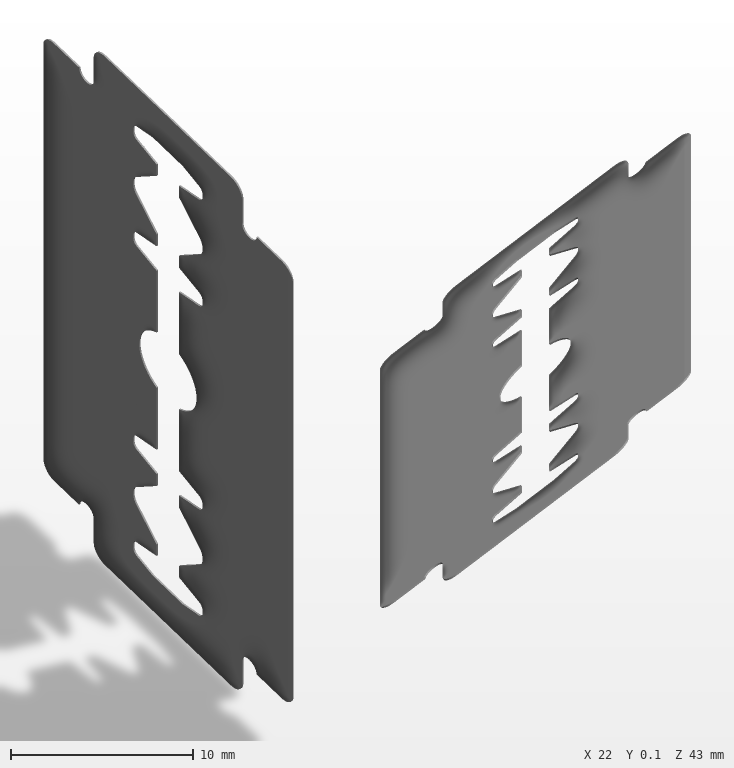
import cadquery as cq

LENGTH = 43.0
WIDTH = 22.0
THICKNESS = 0.1
SHOULDER_Z = 18.5
TAB_WIDTH = 13.07
TAB_CORNER_RADIUS = 1.0
BODY_CORNER_RADIUS = 1.0
NOTCH_RADIUS = 0.65

BEVEL_WIDTH = 0.45
EDGE_THICKNESS = 0.05

HOLE_RADIUS = 2.55
SLOT_WIDTH = 1.98
OPENING_LENGTH = 37.05
WINDOW_WIDTH = 6.1
OUTER_LOBE_Z = 17.6
DIAMOND_Z = 13.1
INNER_LOBE_Z = 8.6
LOBE_ROOT_HEIGHT = 2.05
LOBE_END_HEIGHT = 1.0
LOBE_END_RADIUS = 0.45
DIAMOND_ROOT_HEIGHT = 4.95
DIAMOND_END_HEIGHT = 0.95
DIAMOND_END_RADIUS = 0.85

CUT_DEPTH = 4 * THICKNESS


def plate(width, height):
    """Rectangular plate in the XZ plane, centred on the origin."""
    return cq.Workplane("XZ").rect(width, height).extrude(THICKNESS / 2, both=True)


def blank():
    """Rounded body with a narrower rounded tab at each end and round relief notches."""
    body = plate(WIDTH, 2 * SHOULDER_Z).edges("|Y").fillet(BODY_CORNER_RADIUS)
    tabs = plate(TAB_WIDTH, LENGTH).edges("|Y").fillet(TAB_CORNER_RADIUS)
    notch_x = TAB_WIDTH / 2 + NOTCH_RADIUS
    notches = (
        cq.Workplane("XZ")
        .rect(2 * notch_x, 2 * SHOULDER_Z, forConstruction=True)
        .vertices()
        .circle(NOTCH_RADIUS)
        .extrude(CUT_DEPTH, both=True)
    )
    return body.union(tabs).cut(notches)


def ground_profile():
    """Prism whose XY section tapers to a thin flat edge on both long sides."""
    edge_x = WIDTH / 2
    flat_x = edge_x - BEVEL_WIDTH
    face_y = THICKNESS / 2
    edge_y = EDGE_THICKNESS / 2
    outline = [
        (-flat_x, face_y),
        (flat_x, face_y),
        (edge_x, edge_y),
        (edge_x, -edge_y),
        (flat_x, -face_y),
        (-flat_x, -face_y),
        (-edge_x, -edge_y),
        (-edge_x, edge_y),
    ]
    return cq.Workplane("XY").polyline(outline).close().extrude(LENGTH / 2, both=True)


def window(center_z, root_height, end_height, end_radius):
    """Opening that widens the slot, tapering outwards to two blunt rounded ends."""
    root_x = SLOT_WIDTH / 2
    end_x = WINDOW_WIDTH / 2
    root_z = root_height / 2
    end_z = end_height / 2
    outline = [
        (-root_x, root_z),
        (root_x, root_z),
        (end_x, end_z),
        (end_x, -end_z),
        (root_x, -root_z),
        (-root_x, -root_z),
        (-end_x, -end_z),
        (-end_x, end_z),
    ]
    cutter = cq.Workplane("XZ").polyline(outline).close().extrude(CUT_DEPTH, both=True)
    cutter = cutter.edges("|Y and (<X or >X)").fillet(end_radius)
    return cutter.translate((0, 0, center_z))


def central_opening():
    """Long slot with a round centre hole and three windows towards each end."""
    opening = cq.Workplane("XZ").rect(SLOT_WIDTH, 2 * OUTER_LOBE_Z).extrude(CUT_DEPTH, both=True)
    hole = cq.Workplane("XZ").circle(HOLE_RADIUS).extrude(CUT_DEPTH, both=True)
    opening = opening.union(hole)
    for side in (-1, 1):
        for lobe_z in (OUTER_LOBE_Z, INNER_LOBE_Z):
            lobe = window(side * lobe_z, LOBE_ROOT_HEIGHT, LOBE_END_HEIGHT, LOBE_END_RADIUS)
            opening = opening.union(lobe)
        diamond = window(side * DIAMOND_Z, DIAMOND_ROOT_HEIGHT, DIAMOND_END_HEIGHT, DIAMOND_END_RADIUS)
        opening = opening.union(diamond)
    limits = cq.Workplane("XY").box(WINDOW_WIDTH, 2 * CUT_DEPTH, OPENING_LENGTH)
    return opening.intersect(limits)


result = blank().intersect(ground_profile()).cut(central_opening())